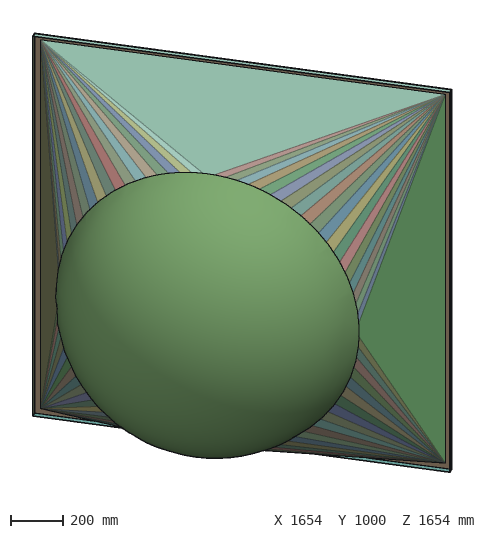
import cadquery as cq
import math

tray_side = 1654.0
tray_depth = 25.0
tray_wall = 2.0

total_depth = 1000.0
rim_depth = 500.0
dome_rim_radius = 600.0

funnel_margin = 25.0
funnel_end_radius = 585.0
facets_per_corner = 19


def make_tray():
    """Thin square floor with a narrow lip standing forward around its edge."""
    inner_side = tray_side - 2 * tray_wall
    return (
        cq.Workplane("XZ")
        .rect(tray_side, tray_side)
        .extrude(tray_depth)
        .faces("<Y")
        .workplane()
        .rect(inner_side, inner_side)
        .cutBlind(tray_wall - tray_depth)
    )


def flat_face(*points):
    return cq.Face.makeFromWires(cq.Wire.makePolygon(points, close=True))


def make_funnel():
    """Square-to-round transition: four flat triangles joined by faceted corners."""
    half = tray_side / 2 - funnel_margin
    corners = [
        cq.Vector(half * x_sign, -tray_wall, half * z_sign)
        for x_sign, z_sign in ((1, 1), (-1, 1), (-1, -1), (1, -1))
    ]
    facet_count = 4 * facets_per_corner
    rim = []
    for i in range(facet_count):
        angle = 2 * math.pi * i / facet_count
        rim.append(
            cq.Vector(funnel_end_radius * math.cos(angle), -rim_depth, funnel_end_radius * math.sin(angle))
        )

    faces = [flat_face(*corners), flat_face(*rim)]
    for i in range(facet_count):
        corner = corners[i // facets_per_corner]
        faces.append(flat_face(corner, rim[i], rim[(i + 1) % facet_count]))
    for i in range(4):
        faces.append(flat_face(corners[i - 1], corners[i], rim[i * facets_per_corner]))
    return cq.Workplane(cq.Solid.makeSolid(cq.Shell.makeShell(faces)))


def make_dome():
    """Spherical cap in front of the funnel's round end."""
    height = total_depth - rim_depth
    radius = (dome_rim_radius**2 + height**2) / (2 * height)
    ball = cq.Workplane("XY").sphere(radius).translate((0, radius - total_depth, 0))
    front_space = (
        cq.Workplane("XZ", origin=(0, -rim_depth, 0))
        .rect(tray_side, tray_side)
        .extrude(tray_side)
    )
    return ball.intersect(front_space)


result = make_tray().union(make_funnel()).union(make_dome())